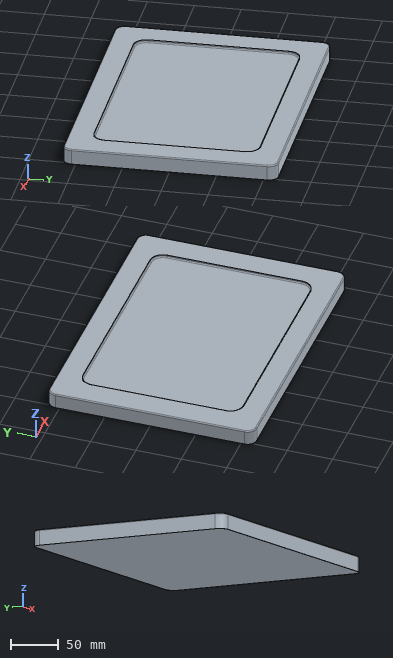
import cadquery as cq

length = 307.0
width = 228.3
thickness = 17.0
corner_radius = 10.0
top_edge_radius = 1.2

recess_length = 248.5
recess_width = 176.5
recess_corner_radius = 14.0
recess_depth = 2.8
recess_edge_radius = 1.2


def make_plate():
    """Flat plate with rounded corners and a softened top edge."""
    plate = cq.Workplane("XY").box(length, width, thickness, centered=(True, True, False))
    plate = plate.edges("|Z").fillet(corner_radius)
    return plate.faces(">Z").edges().fillet(top_edge_radius)


def make_recess():
    """Rounded rectangular pocket volume whose lower rim is rounded into the floor."""
    recess = (
        cq.Workplane("XY")
        .workplane(offset=thickness - recess_depth)
        .rect(recess_length, recess_width)
        .extrude(recess_depth)
    )
    recess = recess.edges("|Z").fillet(recess_corner_radius)
    return recess.faces("<Z").edges().fillet(recess_edge_radius)


result = make_plate().cut(make_recess())